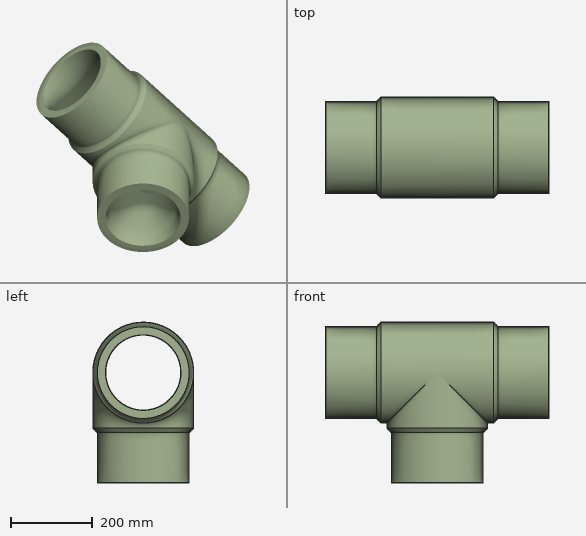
import cadquery as cq

run_length = 548.0
branch_length = 270.5
pipe_diameter = 225.0
bore_diameter = 184.0
body_diameter = 247.5
run_body_reach = 149.0
branch_body_reach = 147.5

chamfer = (body_diameter - pipe_diameter) / 2


def run_cylinder(diameter, length):
    """Cylinder along X, centred on the tee centre."""
    return cq.Workplane("YZ", origin=(-length / 2, 0, 0)).circle(diameter / 2).extrude(length)


def branch_cylinder(diameter, length):
    """Cylinder from the tee centre down along -Z."""
    return cq.Workplane("XY").circle(diameter / 2).extrude(-length)


run_body = run_cylinder(body_diameter, 2 * run_body_reach).faces("<X or >X").chamfer(chamfer)
branch_body = branch_cylinder(body_diameter, branch_body_reach).faces("<Z").chamfer(chamfer)

run_pipe = run_cylinder(pipe_diameter, run_length)
branch_pipe = branch_cylinder(pipe_diameter, branch_length)

run_bore = run_cylinder(bore_diameter, run_length)
branch_bore = branch_cylinder(bore_diameter, branch_length)

outside = run_body.union(branch_body).union(run_pipe).union(branch_pipe)
result = outside.cut(run_bore).cut(branch_bore)